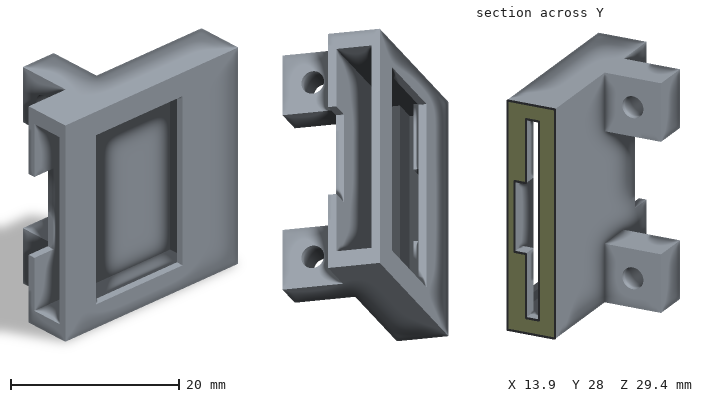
import cadquery as cq

depth = 28.0
height = 29.4
lug_size = 7.5
case_thickness = 6.4

side_wall = 1.0
end_wall = 2.0

lug_front_y = 6.0
lug_length_y = 5.0
lug_hole_diameter = 2.8

notch_depth = 3.1
notch_height = 11.0
window_front_y = 5.0
window_length_y = 14.0
window_height = 23.0

seat_length_y = 4.0
ledge_thickness = 1.2
block_thickness = 1.5
block_gap = 9.0

case_x = lug_size
outer_x = case_x + case_thickness
cavity_x = case_x + side_wall
cavity_end_x = outer_x - side_wall
cavity_depth = depth - end_wall
cavity_height = height - 2 * end_wall
seat_front_y = cavity_depth - seat_length_y
lug_center_z = (height - lug_size) / 2


def box(x_start, x_end, y_start, y_length, z_size, z_center=0.0):
    """Box placed by its X ends, its front face and its middle height."""
    block = cq.Workplane("XY").box(x_end - x_start, y_length, z_size, centered=(False, False, True))
    return block.translate((x_start, y_start, z_center))


def hollow_case():
    case = box(case_x, outer_x, 0, depth, height)
    cavity = box(cavity_x, cavity_end_x, 0, cavity_depth, cavity_height)
    return case.cut(cavity)


def mounting_lug(z_center):
    lug = box(0, case_x, lug_front_y, lug_length_y, lug_size, z_center)
    return lug.faces("<Y").workplane(centerOption="CenterOfMass").hole(lug_hole_diameter)


def wall_openings():
    notch = box(case_x, cavity_x, 0, notch_depth, notch_height)
    window = box(cavity_end_x, outer_x, window_front_y, window_length_y, window_height)
    return notch.union(window)


def board_ledge():
    return box(cavity_x, cavity_x + ledge_thickness, seat_front_y, seat_length_y, cavity_height)


def corner_block(side):
    block_height = (cavity_height - block_gap) / 2
    z_center = side * (block_gap + block_height) / 2
    block_x = cavity_end_x - block_thickness
    return box(block_x, cavity_end_x, seat_front_y, seat_length_y, block_height, z_center)


result = hollow_case().cut(wall_openings()).union(board_ledge())
for side in (-1, 1):
    result = result.union(mounting_lug(side * lug_center_z))
    result = result.union(corner_block(side))